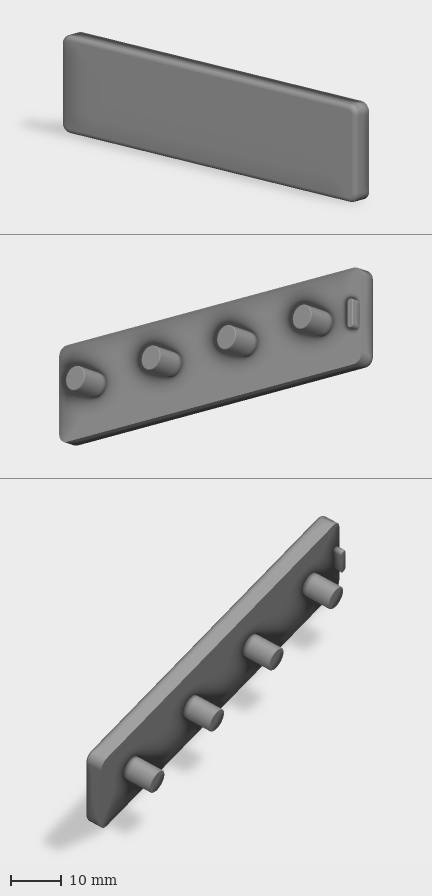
import cadquery as cq

plate_length = 80.0
plate_height = plate_length / 4
plate_thickness = plate_length / 20
corner_radius = plate_thickness / 2
front_fillet = corner_radius / 2

post_count = 4
post_pitch = plate_length / post_count
post_diameter = post_pitch / 4
post_length = 6.5

tab_height = 6.0
tab_width = 1.4
tab_corner_radius = 0.6
tab_length = 2.0
tab_inset = 0.6

tip_fillet = 0.2

back_plane = cq.Plane(origin=(0, 0, 0), xDir=(-1, 0, 0), normal=(0, 1, 0))


def make_plate():
    plate = cq.Workplane("XZ").rect(plate_length, plate_height).extrude(plate_thickness)
    plate = plate.edges("|Y").fillet(corner_radius)
    return plate.faces("<Y").edges().fillet(front_fillet)


def make_post(x):
    post = cq.Workplane(back_plane).circle(post_diameter / 2).extrude(post_length)
    return post.faces(">Y").edges().fillet(tip_fillet).translate((x, 0, 0))


def make_tab():
    tab = cq.Workplane(back_plane).rect(tab_width, tab_height).extrude(tab_length)
    tab = tab.edges("|Y").fillet(tab_corner_radius)
    tab_x = -plate_length / 2 + tab_inset + tab_width / 2
    return tab.faces(">Y").edges().fillet(tip_fillet).translate((tab_x, 0, 0))


result = make_plate().union(make_tab())
for index in range(post_count):
    post_x = (index - (post_count - 1) / 2) * post_pitch
    result = result.union(make_post(post_x))